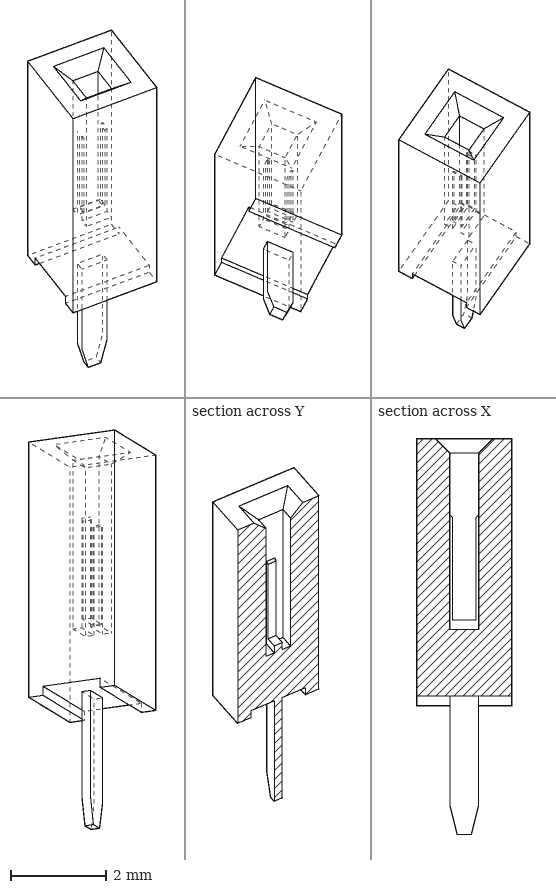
import cadquery as cq

HOUSING_WIDTH = 2.0
HOUSING_HEIGHT = 5.6
NOTCH_WIDTH = 1.33
NOTCH_DEPTH = 0.2

FUNNEL_MOUTH = 1.2
SOCKET_WIDTH = 0.6
FUNNEL_DEPTH = (FUNNEL_MOUTH - SOCKET_WIDTH) / 2
SOCKET_FLOOR = 1.6

CONTACT_THICKNESS = 0.2
FORK_GAP = 0.5
FORK_LEAD_IN = (SOCKET_WIDTH - FORK_GAP) / 2
FORK_TOP = 4.0
FORK_WEB_HEIGHT = 0.2
TAIL_WIDTH = 0.6
TAIL_TIP_WIDTH = 0.3
TAIL_TAPER_HEIGHT = 0.6
TAIL_BOTTOM = -2.7


def make_housing():
    """Square block with a shallow notch along Y in its underside."""
    body = cq.Workplane("XY").rect(HOUSING_WIDTH, HOUSING_WIDTH).extrude(HOUSING_HEIGHT)
    notch = cq.Workplane("XY").rect(NOTCH_WIDTH, HOUSING_WIDTH).extrude(NOTCH_DEPTH)
    return body.cut(notch)


def make_socket():
    """Hollow of the socket: a funnel leading into a square hole."""
    funnel = (
        cq.Workplane("XY", origin=(0, 0, HOUSING_HEIGHT))
        .rect(FUNNEL_MOUTH, FUNNEL_MOUTH)
        .workplane(offset=-FUNNEL_DEPTH)
        .rect(SOCKET_WIDTH, SOCKET_WIDTH)
        .loft(ruled=True)
    )
    hole_height = HOUSING_HEIGHT - FUNNEL_DEPTH - SOCKET_FLOOR
    hole = (
        cq.Workplane("XY", origin=(0, 0, SOCKET_FLOOR))
        .rect(SOCKET_WIDTH, SOCKET_WIDTH)
        .extrude(hole_height)
    )
    return funnel.union(hole)


def extrude_contact(outline):
    """Closed (Y, Z) outline given the contact thickness, centred on X = 0."""
    return cq.Workplane("YZ").polyline(outline).close().extrude(CONTACT_THICKNESS / 2, both=True)


def make_fork():
    """Two prongs along the socket walls, sloped inward at the top, joined by a web."""
    outer = SOCKET_WIDTH / 2
    inner = FORK_GAP / 2
    lead_in_end = FORK_TOP - FORK_LEAD_IN
    web_top = SOCKET_FLOOR + FORK_WEB_HEIGHT
    return extrude_contact([
        (-outer, SOCKET_FLOOR),
        (outer, SOCKET_FLOOR),
        (outer, FORK_TOP),
        (inner, lead_in_end),
        (inner, web_top),
        (-inner, web_top),
        (-inner, lead_in_end),
        (-outer, FORK_TOP),
    ])


def make_tail():
    """Tail running down from the notch and tapering to its tip."""
    half_width = TAIL_WIDTH / 2
    half_tip = TAIL_TIP_WIDTH / 2
    taper_top = TAIL_BOTTOM + TAIL_TAPER_HEIGHT
    return extrude_contact([
        (-half_tip, TAIL_BOTTOM),
        (half_tip, TAIL_BOTTOM),
        (half_width, taper_top),
        (half_width, NOTCH_DEPTH),
        (-half_width, NOTCH_DEPTH),
        (-half_width, taper_top),
    ])


result = make_housing().cut(make_socket()).union(make_fork()).union(make_tail())